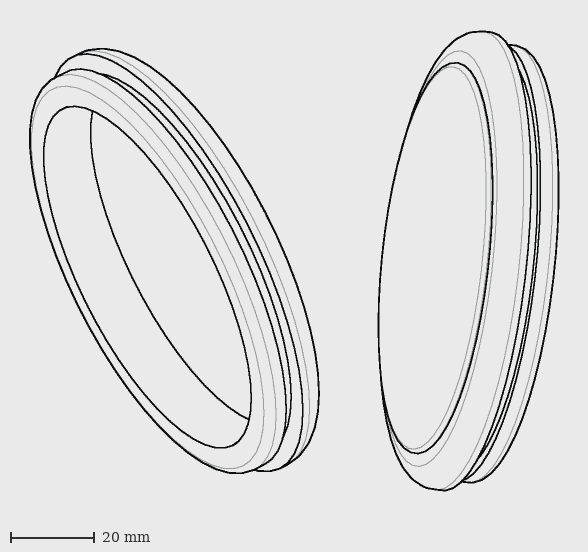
import cadquery as cq
import math

total_depth = 16.7
flange_radius = 55.0

rim_radius = 52.5
rim_width = 5.1
rim_fillet = 2.1

groove_radius = 49.9
groove_width = 3.1

disc_radius = 46.9
disc_outer_round = 1.0
disc_undercut_round = 0.5
disc_height = disc_outer_round + disc_undercut_round

flange_fillet = 5.2

pocket_radius = 45.0
pocket_depth = 13.4

flange_start = rim_width + groove_width
flange_width = total_depth - disc_height - flange_start


def disc(radius, start, width):
    """Solid disc about the Y axis, reaching from start towards +Y."""
    return cq.Workplane("XZ", origin=(0, start, 0)).circle(radius).extrude(-width)


rim = disc(rim_radius, 0, rim_width).faces("<Y").edges().fillet(rim_fillet)
groove_core = disc(groove_radius, rim_width, groove_width)
flange = disc(flange_radius, flange_start, flange_width).faces(">Y").edges().fillet(flange_fillet)

arc_mid = math.sqrt(0.5)
disc_base = total_depth - disc_height
widest_line = total_depth - disc_outer_round
outer_center = disc_radius - disc_outer_round
undercut_center = disc_radius - disc_undercut_round
back_profile = (
    cq.Workplane("XY")
    .moveTo(0, total_depth)
    .lineTo(outer_center, total_depth)
    .threePointArc(
        (outer_center + disc_outer_round * arc_mid, widest_line + disc_outer_round * arc_mid),
        (disc_radius, widest_line),
    )
    .threePointArc(
        (undercut_center + disc_undercut_round * arc_mid, widest_line - disc_undercut_round * arc_mid),
        (undercut_center, disc_base),
    )
    .lineTo(0, disc_base)
    .close()
)
back_disc = back_profile.revolve(360, (0, 0, 0), (0, 1, 0))

pocket = disc(pocket_radius, 0, pocket_depth)

result = rim.union(groove_core).union(flange).union(back_disc).cut(pocket)